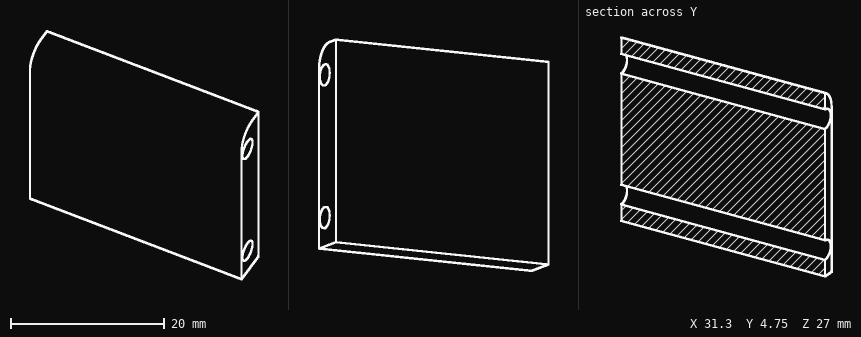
import cadquery as cq

length = 31.3
thickness = 4.75
height = 27.0

edge_radius = 3.0

hole_diameter = 2.8
hole_setback = 1.65
hole_spacing = 19.0
lower_hole_height = 3.85


def make_plate():
    """Plate with its front face at Y = 0 and its top front edge rounded."""
    plate = cq.Workplane("XY").box(length, thickness, height, centered=False)
    return plate.faces("<Y").edges(">Z").fillet(edge_radius)


def make_hole(axis_height):
    """Cylinder spanning the full length at the given height."""
    return (
        cq.Workplane("YZ")
        .center(hole_setback, axis_height)
        .circle(hole_diameter / 2)
        .extrude(length)
    )


result = make_plate()
for axis_height in (lower_hole_height, lower_hole_height + hole_spacing):
    result = result.cut(make_hole(axis_height))